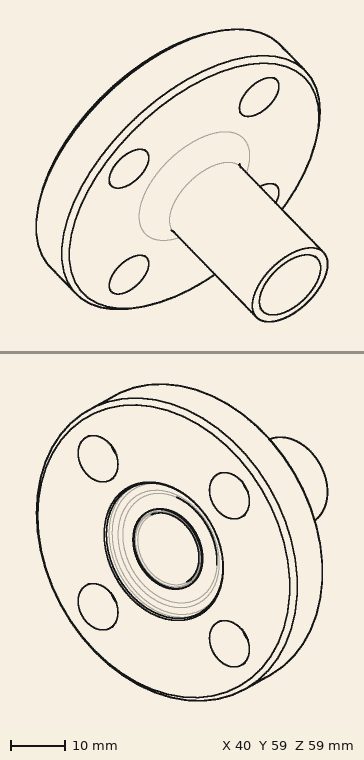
import cadquery as cq
import math

total_length = 40.0
flange_radius = 29.5
flange_thickness = 10.05
flange_chamfer = 1.0
tube_radius = 17.2 / 2
bore_radius = 14.0 / 2
neck_fillet = 4.0

bolt_hole_diameter = 9.0
bolt_circle_radius = 21.0
bolt_count = 4

recess_radius = 26.4 / 2
recess_depth = 1.5
recess_entry_chamfer = 0.3
recess_floor_fillet = 0.4

groove_outer_radius = 10.7
groove_inner_radius = 7.8
groove_lip_width = 0.75
groove_wall_angle = math.radians(60)
rim_depth = 1.2
rim_edge_fillet = 0.3

DIAGONAL = math.sqrt(0.5)


def make_body():
    """Solid flange with its tube and concave neck."""
    neck_end = flange_thickness + neck_fillet
    neck_mid = neck_fillet * (1 - DIAGONAL)
    profile = (
        cq.Workplane("XY")
        .moveTo(0, 0)
        .lineTo(0, flange_radius - flange_chamfer)
        .lineTo(flange_chamfer, flange_radius)
        .lineTo(flange_thickness - flange_chamfer, flange_radius)
        .lineTo(flange_thickness, flange_radius - flange_chamfer)
        .lineTo(flange_thickness, tube_radius + neck_fillet)
        .threePointArc((flange_thickness + neck_mid, tube_radius + neck_mid), (neck_end, tube_radius))
        .lineTo(total_length, tube_radius)
        .lineTo(total_length, 0)
        .close()
    )
    return profile.revolve(360, (0, 0, 0), (1, 0, 0))


def make_cavity():
    """Bore, seal groove and centring recess as one revolved cutter."""
    wall_sine = math.sin(groove_wall_angle)
    wall_cosine = math.cos(groove_wall_angle)

    lip_radius = groove_lip_width / wall_sine
    lip_end_depth = recess_depth + lip_radius * (1 - wall_cosine)
    lip_start_radius = groove_outer_radius + groove_lip_width
    lip_mid = (
        recess_depth + lip_radius * (1 - math.cos(groove_wall_angle / 2)),
        lip_start_radius - lip_radius * math.sin(groove_wall_angle / 2),
    )
    groove_radius = (groove_outer_radius - groove_inner_radius) / (1 + wall_sine)
    groove_centre_depth = lip_end_depth - groove_radius * wall_cosine
    groove_bottom = (groove_centre_depth + groove_radius, groove_inner_radius + groove_radius)

    floor_mid = recess_floor_fillet * (1 - DIAGONAL)
    rim_mid = rim_edge_fillet * (1 - DIAGONAL)
    profile = (
        cq.Workplane("XY")
        .moveTo(0, 0)
        .lineTo(0, recess_radius + recess_entry_chamfer)
        .lineTo(recess_entry_chamfer, recess_radius)
        .lineTo(recess_depth - recess_floor_fillet, recess_radius)
        .threePointArc(
            (recess_depth - floor_mid, recess_radius - floor_mid),
            (recess_depth, recess_radius - recess_floor_fillet),
        )
        .lineTo(recess_depth, lip_start_radius)
        .threePointArc(lip_mid, (lip_end_depth, groove_outer_radius))
        .threePointArc(groove_bottom, (groove_centre_depth, groove_inner_radius))
        .lineTo(rim_depth + rim_edge_fillet, groove_inner_radius)
        .threePointArc(
            (rim_depth + rim_mid, groove_inner_radius - rim_mid),
            (rim_depth, groove_inner_radius - rim_edge_fillet),
        )
        .lineTo(rim_depth, bore_radius + rim_edge_fillet)
        .threePointArc(
            (rim_depth + rim_mid, bore_radius + rim_mid),
            (rim_depth + rim_edge_fillet, bore_radius),
        )
        .lineTo(total_length, bore_radius)
        .lineTo(total_length, 0)
        .close()
    )
    return profile.revolve(360, (0, 0, 0), (1, 0, 0))


def make_bolt_holes():
    """Through holes on the bolt circle, placed on the diagonals."""
    return (
        cq.Workplane("YZ")
        .polarArray(bolt_circle_radius, 180 / bolt_count, 360, bolt_count)
        .circle(bolt_hole_diameter / 2)
        .extrude(flange_thickness)
    )


result = make_body().cut(make_cavity()).cut(make_bolt_holes())